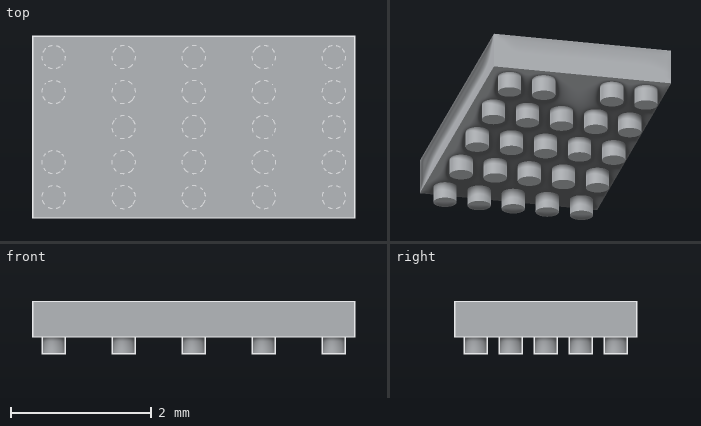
import cadquery as cq

overall_height = 0.75
body_length = 4.6
body_width = 2.6
body_thickness = 0.51

pin_diameter = 0.332
pin_height = overall_height - body_thickness
pin_columns = 5
pin_rows = 5
column_pitch = 1.0
row_pitch = 0.5

empty_place = (0, pin_rows // 2)


def grid_offset(index, count, pitch):
    """Position of one place in an evenly spaced line centred on zero."""
    return (index - (count - 1) / 2) * pitch


def pin_centres():
    """Centres of every occupied place of the pin grid."""
    centres = []
    for column in range(pin_columns):
        for row in range(pin_rows):
            if (column, row) == empty_place:
                continue
            x = grid_offset(column, pin_columns, column_pitch)
            y = grid_offset(row, pin_rows, row_pitch)
            centres.append((x, y))
    return centres


def make_body():
    """Slab whose underside lies on top of the pins."""
    return (
        cq.Workplane("XY")
        .workplane(offset=pin_height)
        .rect(body_length, body_width)
        .extrude(body_thickness)
    )


def make_pins():
    """All pins, standing from Z = 0 up to the underside of the body."""
    return (
        cq.Workplane("XY")
        .pushPoints(pin_centres())
        .circle(pin_diameter / 2)
        .extrude(pin_height)
    )


result = make_body().union(make_pins())